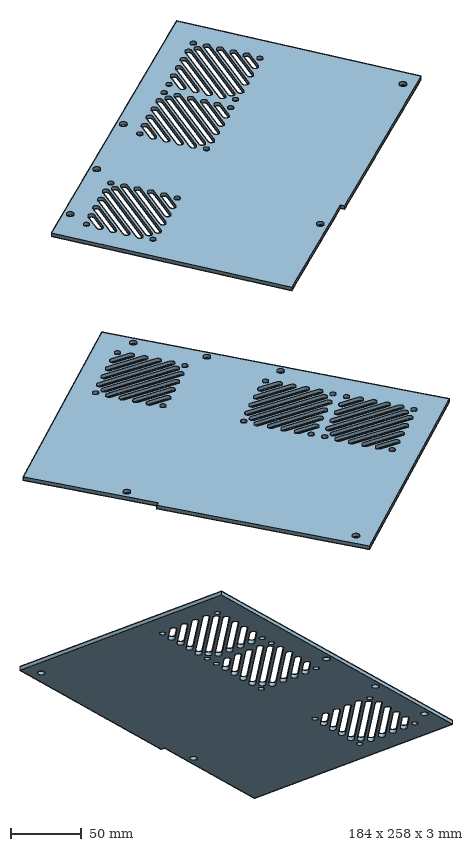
import cadquery as cq
import math

LENGTH = 258.0
WIDTH = 184.0
THICKNESS = 3.0
LEFT = -WIDTH / 2
RIGHT = WIDTH / 2
TOP = LENGTH / 2
BOTTOM = -LENGTH / 2

STEP_DEPTH = 3.0
STEP_LENGTH = 100.0

VENT_SPAN = 50.0
VENT_DIVISIONS = 5
VENT_PITCH = VENT_SPAN / VENT_DIVISIONS
VENT_INSET = 19.9
VENT_TOP_MARGIN = 19.9
VENT_DROPS = (0, 60.0, 170.0)
SLOT_WIDTH = 5.0
VENT_HOLE_DIAMETER = 4.5

MOUNT_DIAMETER = 5.5
LEFT_HOLE_INSET = 5.2
LEFT_HOLE_PITCH = 54.7
LEFT_HOLE_COUNT = 3
LEFT_HOLE_BOTTOM_MARGIN = 25.0
RIGHT_HOLE_INSET = 9.0
RIGHT_HOLE_TOP_MARGIN = 13.0
RIGHT_HOLE_SPACING = 170.0


def make_plate():
    """Rectangular plate with a step in its lower right edge."""
    plate = cq.Workplane("XY").box(WIDTH, LENGTH, THICKNESS)
    step = (
        cq.Workplane("XY")
        .box(STEP_DEPTH, STEP_LENGTH, THICKNESS)
        .translate((RIGHT - STEP_DEPTH / 2, BOTTOM + STEP_LENGTH / 2, 0))
    )
    return plate.cut(step)


def cylinders(points, diameter):
    """Through-hole cutters at the given points."""
    return (
        cq.Workplane("XY")
        .workplane(offset=-THICKNESS / 2)
        .pushPoints(points)
        .circle(diameter / 2)
        .extrude(THICKNESS)
    )


def slots(centers, length):
    """Through-slot cutters falling to the right at 45 degrees."""
    return (
        cq.Workplane("XY")
        .workplane(offset=-THICKNESS / 2)
        .pushPoints(centers)
        .slot2D(length, SLOT_WIDTH, -45)
        .extrude(THICKNESS)
    )


def cut_vent(plate, center_x, center_y):
    """Cut one vent: four corner holes and a family of diagonal slots."""
    half = VENT_SPAN / 2
    corners = [(center_x + sx * half, center_y + sy * half) for sx in (-1, 1) for sy in (-1, 1)]
    plate = plate.cut(cylinders(corners, VENT_HOLE_DIAMETER))

    for rank in range(VENT_DIVISIONS):
        offset = rank * VENT_PITCH / 2
        sides = (-1, 1) if rank > 0 else (1,)
        centers = [(center_x + side * offset, center_y + side * offset) for side in sides]
        steps = VENT_DIVISIONS - max(rank, 1)
        length = steps * VENT_PITCH * math.sqrt(2) + SLOT_WIDTH
        plate = plate.cut(slots(centers, length))
    return plate


def left_hole_points():
    """Evenly spaced holes along the left edge."""
    first_y = BOTTOM + LEFT_HOLE_BOTTOM_MARGIN
    return [(LEFT + LEFT_HOLE_INSET, first_y + i * LEFT_HOLE_PITCH) for i in range(LEFT_HOLE_COUNT)]


def right_hole_points():
    """Two holes near the right edge."""
    x = RIGHT - RIGHT_HOLE_INSET
    top_y = TOP - RIGHT_HOLE_TOP_MARGIN
    return [(x, top_y), (x, top_y - RIGHT_HOLE_SPACING)]


result = make_plate()
result = result.cut(cylinders(left_hole_points() + right_hole_points(), MOUNT_DIAMETER))
for drop in VENT_DROPS:
    vent_x = LEFT + VENT_INSET + VENT_SPAN / 2
    vent_y = TOP - VENT_TOP_MARGIN - VENT_SPAN / 2 - drop
    result = cut_vent(result, vent_x, vent_y)